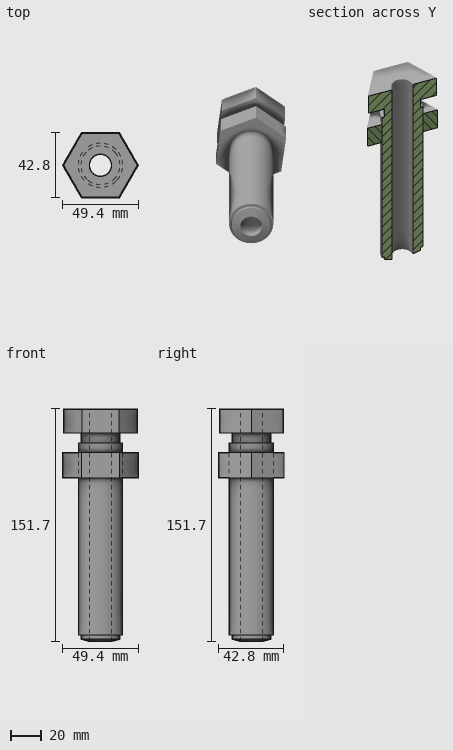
import cadquery as cq
import math

total_length = 151.7
head_height = 15.8
head_across_corners = 48.1
neck_length = 6.4
shank_diameter = 29.0
root_diameter = 25.3
bore_diameter = 14.3
shank_bottom = 4.1
dome_height = 1.5

nut_across_flats = 42.8
nut_across_corners = nut_across_flats / math.cos(math.pi / 6)
nut_height = 16.4
nut_bottom = 106.8

head_bottom = total_length - head_height
shank_top = head_bottom - neck_length


def hexagon(across_corners, bottom, height):
    """Hexagonal prism with corners on the X axis."""
    return (
        cq.Workplane("XY")
        .workplane(offset=bottom)
        .polygon(6, across_corners)
        .extrude(height)
    )


def cylinder(diameter, bottom, top):
    return cq.Workplane("XY").workplane(offset=bottom).circle(diameter / 2).extrude(top - bottom)


def make_point():
    """Turned point below the shank, with a spherical end opened by the bore."""
    rim = root_diameter / 2
    bore = bore_diameter / 2
    center_z = (rim**2 - bore**2 + dome_height**2) / (2 * dome_height)
    sphere_radius = math.hypot(bore, center_z)
    middle_x = (rim + bore) / 2
    middle_z = center_z - math.sqrt(sphere_radius**2 - middle_x**2)
    return (
        cq.Workplane("XZ")
        .moveTo(bore, 0)
        .threePointArc((middle_x, middle_z), (rim, dome_height))
        .lineTo(rim, shank_bottom)
        .lineTo(bore, shank_bottom)
        .close()
        .revolve(360, (0, 0, 0), (0, 1, 0))
    )


def make_screw():
    head = hexagon(head_across_corners, head_bottom, head_height)
    neck = cylinder(root_diameter, shank_top, head_bottom)
    shank = cylinder(shank_diameter, shank_bottom, shank_top)
    bore = cylinder(bore_diameter, 0, total_length)
    return head.union(neck).union(shank).cut(bore).union(make_point())


def make_nut():
    blank = hexagon(nut_across_corners, nut_bottom, nut_height)
    return blank.cut(cylinder(shank_diameter, nut_bottom, nut_bottom + nut_height))


screw = make_screw()
nut = make_nut()
result = cq.Compound.makeCompound([screw.val(), nut.val()])